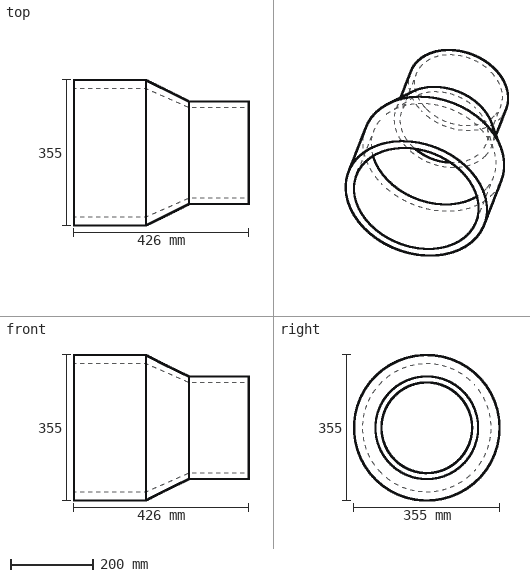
import cadquery as cq

total_length = 426.0
large_length = 175.0
small_length = 145.5
large_outer_diameter = 355.0
large_bore_diameter = 312.5
small_outer_diameter = 250.0
small_bore_diameter = 220.2

cone_start = large_length
cone_end = total_length - small_length


def reducer_body(large_diameter, small_diameter):
    """Solid of revolution: large cylinder, cone, then small cylinder."""
    large_radius = large_diameter / 2
    small_radius = small_diameter / 2
    return (
        cq.Workplane("XY")
        .moveTo(0, 0)
        .lineTo(0, large_radius)
        .lineTo(cone_start, large_radius)
        .lineTo(cone_end, small_radius)
        .lineTo(total_length, small_radius)
        .lineTo(total_length, 0)
        .close()
        .revolve(360, (0, 0, 0), (1, 0, 0))
    )


outer_body = reducer_body(large_outer_diameter, small_outer_diameter)
bore = reducer_body(large_bore_diameter, small_bore_diameter)

result = outer_body.cut(bore)